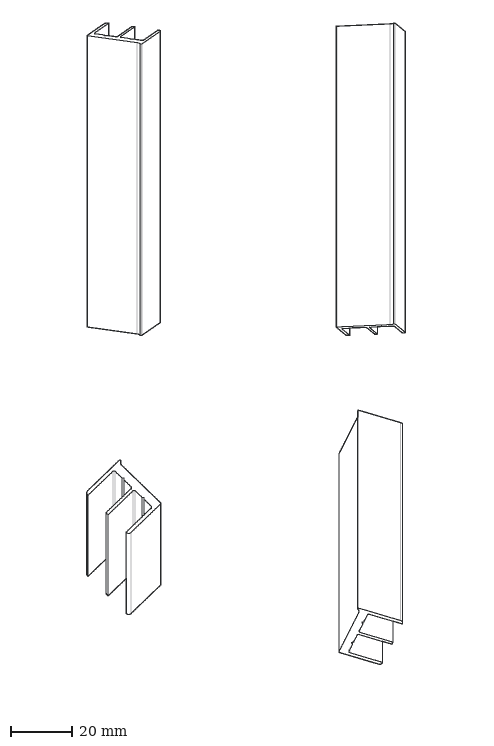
import cadquery as cq

length = 100.0
width = 20.0
lip_drop = 0.9
body_depth = 15.0

base_thickness = 3.0
side_wall = 1.2
middle_rib = 1.0

tip_radius = 1.0
channel_radius = 0.5
heel_radius = 0.3

lip_width = 0.5
lip_arc_radius = 1.6
lip_edge_radius = 0.2

groove_width = 1.0
groove_depth = 0.5

channel_width = (width - 2 * side_wall - middle_rib) / 2
channel_offset = (channel_width + middle_rib) / 2


def make_body():
    """Solid bar with rounded outer tips and a rounded heel; base underside at Y = 0."""
    body = cq.Workplane("XY").box(width, body_depth, length, centered=(True, False, False))
    body = body.edges("|Z and >Y").fillet(tip_radius)
    return body.edges("|Z and <Y and <X").fillet(heel_radius)


def make_channel(center_x):
    """Open channel with rounded floor corners and a V-groove in its floor."""
    channel = (
        cq.Workplane("XY")
        .center(center_x, base_thickness)
        .box(channel_width, body_depth, length, centered=(True, False, False))
        .edges("|Z and <Y")
        .fillet(channel_radius)
    )
    groove = (
        cq.Workplane("XY")
        .center(center_x, base_thickness)
        .moveTo(-groove_width / 2, 0)
        .lineTo(0, -groove_depth)
        .lineTo(groove_width / 2, 0)
        .close()
        .extrude(length)
    )
    return channel.union(groove)


def make_lip():
    """Lip at the +X edge, with a concave arc tangent to the base underside and a rounded outer edge."""
    right = width / 2
    lip_left = right - lip_width
    arc_run = (lip_arc_radius**2 - (lip_arc_radius - lip_drop) ** 2) ** 0.5
    block = (
        cq.Workplane("XY")
        .moveTo(lip_left - arc_run, base_thickness / 2)
        .lineTo(lip_left - arc_run, -lip_drop)
        .lineTo(right, -lip_drop)
        .lineTo(right, base_thickness / 2)
        .close()
        .extrude(length)
    )
    hollow = (
        cq.Workplane("XY")
        .center(lip_left - arc_run, -lip_arc_radius)
        .circle(lip_arc_radius)
        .extrude(length)
    )
    return block.cut(hollow).edges("|Z and <Y").edges(">X").fillet(lip_edge_radius)


result = make_body().union(make_lip())
for side in (-1, 1):
    result = result.cut(make_channel(side * channel_offset))